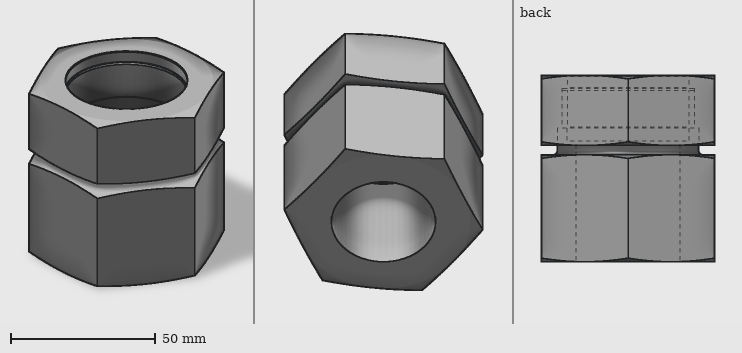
import cadquery as cq
import math

hex_across_corners = 69.3
hex_across_flats = hex_across_corners * math.cos(math.radians(30))
hex_chamfer_angle = 15.0

total_height = 64.5
body_hex_height = 37.0
nut_bottom = 40.25
tube_stop = 41.8
ring_bottom = 46.35
ring_top = 59.3
nut_lip_bottom = 60.1

through_bore_diameter = 36.0
socket_diameter = 42.25
tube_bore_diameter = 42.0
mouth_diameter = 42.3
ring_outer_diameter = 45.85
neck_diameter = 49.0

neck_root_radius = 1.4
mouth_depth = 0.35


def cylinder(diameter, bottom, top):
    """Vertical cylinder on the common axis between two heights."""
    return cq.Workplane("XY").workplane(offset=bottom).circle(diameter / 2).extrude(top - bottom)


def mouth_cone(height, direction):
    """Cutter that bevels the mouth of a tube bore at a height, narrowing up (1) or down (-1)."""
    cone = cq.Solid.makeCone(
        mouth_diameter / 2,
        tube_bore_diameter / 2,
        mouth_depth,
        pnt=cq.Vector(0, 0, height),
        dir=cq.Vector(0, 0, direction),
    )
    return cq.Workplane(obj=cone)


def hex_blank(bottom, top):
    """Hexagonal prism with its corners turned off conically at both ends."""
    flat_radius = hex_across_flats / 2
    corner_radius = hex_across_corners / 2
    drop = (corner_radius - flat_radius) * math.tan(math.radians(hex_chamfer_angle))
    prism = (
        cq.Workplane("XY")
        .workplane(offset=bottom)
        .polygon(6, hex_across_corners)
        .extrude(top - bottom)
        .rotate((0, 0, 0), (0, 0, 1), 90)
    )
    turned_envelope = (
        cq.Workplane("XZ")
        .moveTo(0, bottom)
        .lineTo(flat_radius, bottom)
        .lineTo(corner_radius, bottom + drop)
        .lineTo(corner_radius, top - drop)
        .lineTo(flat_radius, top)
        .lineTo(0, top)
        .close()
        .revolve(360, (0, 0, 0), (0, 1, 0))
    )
    return prism.intersect(turned_envelope)


def make_body():
    """Hexagonal body with a filleted neck, a tube socket and a through bore."""
    neck = cylinder(neck_diameter, body_hex_height, ring_bottom)
    body = hex_blank(0, body_hex_height).union(neck)
    body = body.edges(cq.selectors.RadiusNthSelector(0)).edges("<Z").fillet(neck_root_radius)
    body = body.cut(cylinder(through_bore_diameter, 0, tube_stop))
    return body.cut(cylinder(socket_diameter, tube_stop, ring_bottom))


def make_ring():
    """Clamping ring standing on the end of the neck, with a bevelled lower mouth."""
    ring = cylinder(ring_outer_diameter, ring_bottom, ring_top)
    ring = ring.cut(cylinder(tube_bore_diameter, ring_bottom, ring_top))
    return ring.cut(mouth_cone(ring_bottom, 1))


def make_nut():
    """Hexagonal nut over the neck and the ring, with a bevelled lip at its top."""
    nut = hex_blank(nut_bottom, total_height)
    nut = nut.cut(cylinder(neck_diameter, nut_bottom, ring_bottom))
    nut = nut.cut(cylinder(ring_outer_diameter, ring_bottom, nut_lip_bottom))
    nut = nut.cut(cylinder(tube_bore_diameter, nut_lip_bottom, total_height))
    nut = nut.cut(mouth_cone(nut_lip_bottom, 1))
    return nut.cut(mouth_cone(total_height, -1))


body = make_body()
ring = make_ring()
nut = make_nut()

result = cq.Compound.makeCompound([body.val(), ring.val(), nut.val()])